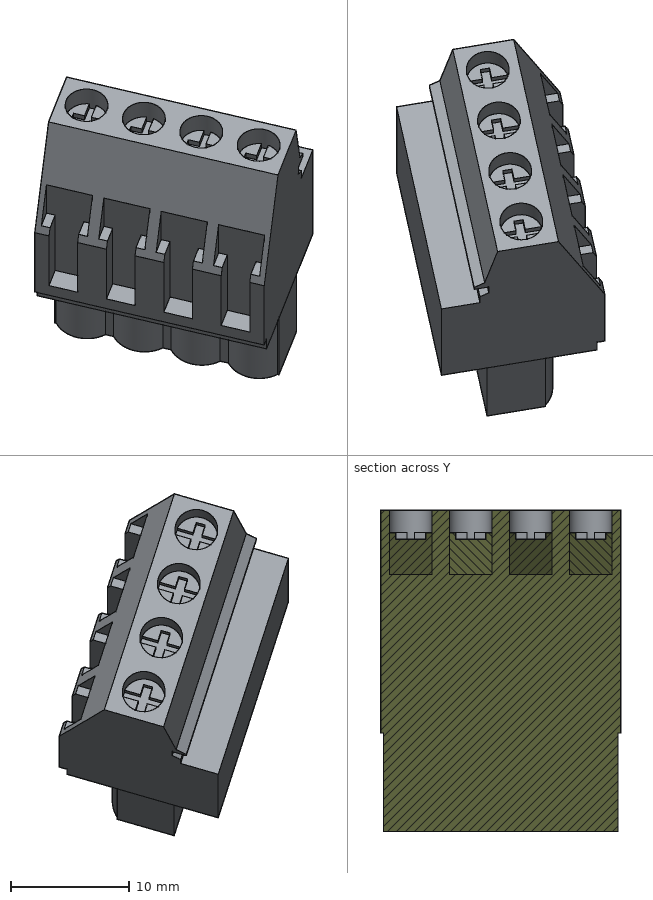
import cadquery as cq


POLES = 4
WIDTH = 20.32
PITCH = WIDTH / POLES
POLE_CENTERS = [(i - (POLES - 1) / 2) * PITCH for i in range(POLES)]

DEPTH = 14.1
TOP_Z = 27.2
HOUSING_BOTTOM_Z = 8.32
FRONT_STEP_Y = 0.68
FRONT_STEP_Z = 9.57
SLOPE_BOTTOM_Z = 17.27
TOP_FRONT_Y = 4.0
TOP_BACK_Y = 9.25
LIP_ROOT_Y = 10.35
LIP_ROOT_Z = 22.4
LIP_TIP_Y = 11.25
LIP_TIP_Z = 21.92
LIP_UNDERSIDE_Z = 21.6
GROOVE_Y = 10.0
GROOVE_BOTTOM_Z = 20.65
GROOVE_RAMP_Y = 10.77
GROOVE_RAMP_Z = 20.25
SHOULDER_Z = 19.25

PLUG_WIDTH = 19.85
PLUG_FRONT_Y = 5.05
PLUG_BACK_Y = 10.12
SOCKET_WIDTH = 4.35
SOCKET_BULGE = 1.0

LATCH_WIDTH = 2 * PITCH
LATCH_OUTLINE = [
    (13.5, HOUSING_BOTTOM_Z),
    (11.42, HOUSING_BOTTOM_Z),
    (11.85, 7.13),
    (11.85, 5.39),
    (11.07, 4.73),
    (11.45, 3.65),
    (12.9, 5.1),
]

ENTRY_HEAD_WIDTH = 4.08
ENTRY_STEM_WIDTH = 2.53
ENTRY_TOP_Z = 21.68
ENTRY_LEDGE_Z = 18.0
ENTRY_BOTTOM_Z = 10.83
ENTRY_DEPTH = TOP_FRONT_Y * (ENTRY_TOP_Z - SLOPE_BOTTOM_Z) / (TOP_Z - SLOPE_BOTTOM_Z)

SCREW_DIAMETER = 3.62
SCREW_Y = 6.72
SCREW_RECESS = 1.9
SCREW_LENGTH = 3.54
SCREW_TOP_Z = TOP_Z - SCREW_RECESS
SCREW_BOTTOM_Z = SCREW_TOP_Z - SCREW_LENGTH
DRIVE_DEPTH = 0.55
LONG_SLOT_WIDTH = 0.6
SHORT_SLOT_WIDTH = 0.8
SHORT_SLOT_LENGTH = 2.53


def block(x_center, width, y_min, y_max, z_min, z_max):
    """Box centred on x_center in X, between the given limits in Y and Z."""
    box = cq.Workplane("XY").box(width, y_max - y_min, z_max - z_min, centered=(True, False, False))
    return box.translate((x_center, y_min, z_min))


def extrude_profile(points, width):
    """Closed (Y, Z) profile extruded to both sides of X = 0."""
    return cq.Workplane("YZ").polyline(points).close().extrude(width / 2, both=True)


def cylinder(x, z_min, z_max):
    """Upright cylinder of the screw diameter at one pole."""
    base = cq.Workplane("XY", origin=(x, SCREW_Y, z_min))
    return base.circle(SCREW_DIAMETER / 2).extrude(z_max - z_min)


def make_shell():
    return extrude_profile(
        [
            (FRONT_STEP_Y, HOUSING_BOTTOM_Z),
            (FRONT_STEP_Y, FRONT_STEP_Z),
            (0, FRONT_STEP_Z),
            (0, SLOPE_BOTTOM_Z),
            (TOP_FRONT_Y, TOP_Z),
            (TOP_BACK_Y, TOP_Z),
            (LIP_ROOT_Y, LIP_ROOT_Z),
            (LIP_TIP_Y, LIP_TIP_Z),
            (LIP_TIP_Y, LIP_UNDERSIDE_Z),
            (GROOVE_Y, LIP_UNDERSIDE_Z),
            (GROOVE_Y, GROOVE_BOTTOM_Z),
            (GROOVE_RAMP_Y, GROOVE_RAMP_Z),
            (GROOVE_RAMP_Y, SHOULDER_Z),
            (DEPTH, SHOULDER_Z),
            (DEPTH, HOUSING_BOTTOM_Z),
        ],
        WIDTH,
    )


def make_plug():
    """Flat-backed block with one bulging socket per pole along its front."""
    outline = cq.Workplane("XY").moveTo(-PLUG_WIDTH / 2, PLUG_BACK_Y).lineTo(-PLUG_WIDTH / 2, PLUG_FRONT_Y)
    for x in POLE_CENTERS:
        outline = outline.lineTo(x - SOCKET_WIDTH / 2, PLUG_FRONT_Y).threePointArc(
            (x, PLUG_FRONT_Y - SOCKET_BULGE), (x + SOCKET_WIDTH / 2, PLUG_FRONT_Y)
        )
    outline = outline.lineTo(PLUG_WIDTH / 2, PLUG_FRONT_Y).lineTo(PLUG_WIDTH / 2, PLUG_BACK_Y).close()
    return outline.extrude(HOUSING_BOTTOM_Z)


def make_wire_entry(x):
    """T-shaped cutter: a wide head above a narrower stem."""
    head = block(x, ENTRY_HEAD_WIDTH, 0, ENTRY_DEPTH, ENTRY_LEDGE_Z, ENTRY_TOP_Z)
    stem = block(x, ENTRY_STEM_WIDTH, 0, ENTRY_DEPTH, ENTRY_BOTTOM_Z, ENTRY_TOP_Z)
    return head.union(stem)


def make_housing():
    latch = extrude_profile(LATCH_OUTLINE, LATCH_WIDTH)
    body = make_shell().union(make_plug()).union(latch)
    for x in POLE_CENTERS:
        body = body.cut(make_wire_entry(x))
        body = body.cut(cylinder(x, SCREW_BOTTOM_Z, TOP_Z))
    return body


def make_screw(x):
    """Plain cylinder with a cross drive: one slot across the head, one shorter."""
    drive_floor_z = SCREW_TOP_Z - DRIVE_DEPTH
    radius = SCREW_DIAMETER / 2
    long_slot = block(x, LONG_SLOT_WIDTH, SCREW_Y - radius, SCREW_Y + radius, drive_floor_z, SCREW_TOP_Z)
    short_slot = block(
        x,
        SHORT_SLOT_LENGTH,
        SCREW_Y - SHORT_SLOT_WIDTH / 2,
        SCREW_Y + SHORT_SLOT_WIDTH / 2,
        drive_floor_z,
        SCREW_TOP_Z,
    )
    return cylinder(x, SCREW_BOTTOM_Z, SCREW_TOP_Z).cut(long_slot).cut(short_slot)


housing = make_housing()
screws = [make_screw(x) for x in POLE_CENTERS]

result = cq.Compound.makeCompound([housing.val(), *[screw.val() for screw in screws]])